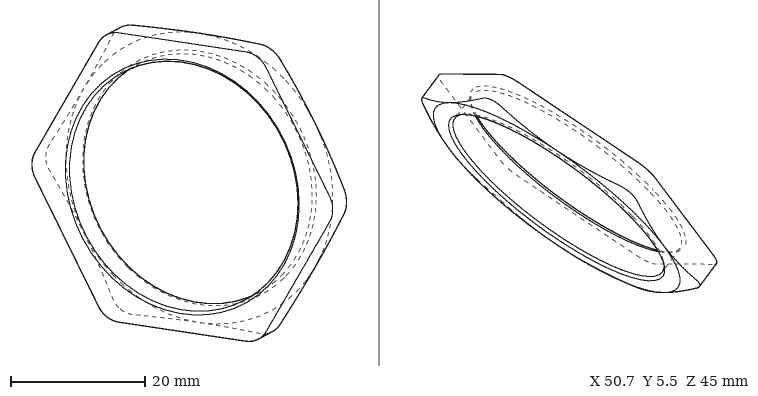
import cadquery as cq
import math

across_flats = 45.0
thickness = 5.5
corner_radius = 3.95
bore_diameter = 38.5
bore_chamfer = 0.45

bevel_face_radius = across_flats / 2
bevel_angle = 20

across_corners = across_flats / math.cos(math.radians(30))


def hex_body():
    """Rounded hexagon with corners on the X axis and flats at top and bottom."""
    body = cq.Workplane("XZ").polygon(6, across_corners).extrude(-thickness)
    return body.edges("|Y").fillet(corner_radius)


def bevel_envelope():
    """Solid of revolution whose cone trims the corners near the +Y face."""
    outer_radius = across_corners / 2
    bevel_depth = (outer_radius - bevel_face_radius) * math.tan(math.radians(bevel_angle))
    profile = (
        cq.Workplane("XY")
        .lineTo(outer_radius, 0)
        .lineTo(outer_radius, thickness - bevel_depth)
        .lineTo(bevel_face_radius, thickness)
        .lineTo(0, thickness)
        .close()
    )
    return profile.revolve(360, (0, 0, 0), (0, 1, 0))


def bore_cutter():
    """Through bore that widens in a 45 degree chamfer at each face."""
    bore_radius = bore_diameter / 2
    mouth_radius = bore_radius + bore_chamfer
    profile = (
        cq.Workplane("XY")
        .lineTo(mouth_radius, 0)
        .lineTo(bore_radius, bore_chamfer)
        .lineTo(bore_radius, thickness - bore_chamfer)
        .lineTo(mouth_radius, thickness)
        .lineTo(0, thickness)
        .close()
    )
    return profile.revolve(360, (0, 0, 0), (0, 1, 0))


result = hex_body().intersect(bevel_envelope()).cut(bore_cutter())